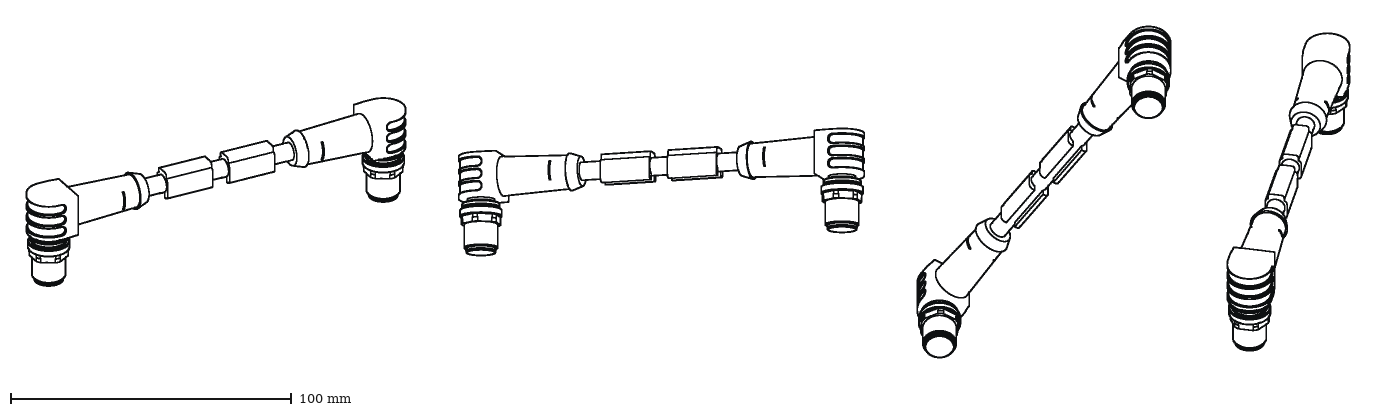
import cadquery as cq


overall_length = 150.94
overall_height = 35.3
half_length = overall_length / 2
overlap = 0.5

cable_diameter = 6.5

head_width = 15.97
head_height = 16.0
head_depth = 16.1
head_rear_width = 15.2
taper_start = 12.1
taper_end = 14.7
head_fillet = 0.5
head_radius = head_width / 2
plug_y = half_length - head_radius
head_rear_y = half_length - head_depth
head_bottom_z = -head_height / 2

groove_height = 3.6
groove_pitch = 4.45
groove_reach = 10.8
groove_depth = 0.5
groove_floor_bevel = 0.3
groove_count = 3

sleeve_root_diameter = 14.2
sleeve_neck_diameter = 12.1
collar_diameter = 13.5
sleeve_end_diameter = 10.65
collar_y = 33.9
sleeve_end_y = 29.8
slit_y = 40.1
slit_width = 0.4
slit_height = 6.8
slit_depth = 0.4

neck_diameter = 9.9
neck_flare_diameter = 10.9
neck_flare_top_z = -8.8
ring_diameter = 13.5
ring_top_z = -9.4
ring_bottom_z = -11.0
gap_diameter = 12.6
nut_collar_diameter = 15.0
nut_collar_top_z = -11.6
nut_collar_bottom_z = -14.3
ring_chamfer = 0.3
hex_across_flats = 13.0
hex_corner_diameter = 14.1
hex_lower_corner_diameter = 14.0
hex_turn = 30.0
hex_step_z = -15.6
hex_bottom_z = -17.1
barrel_diameter = 12.0
barrel_bottom_z = -25.8
barrel_chamfer = 0.4
tip_diameter = 10.65
tip_step_z = -26.6
tip_end_diameter = 10.45
tip_chamfer = 0.2
tip_bottom_z = head_height / 2 - overall_height

marker_length = 18.3
marker_center_y = 12.5
marker_half_width = 4.0
marker_bottom_z = -5.0
marker_corner_radius = 1.6
marker_shoulder_z = 3.2
rail_half_width = 2.9
rail_top_z = 5.3
rail_corner_radius = 1.0
clip_opening = 3.6


def head_outline(inset):
    """D-shaped plan outline of the head, reduced all round its sides and rounded end by inset."""
    rear_half_width = head_rear_width / 2 - inset
    radius = head_radius - inset
    return (
        cq.Workplane("XY", origin=(0, 0, head_bottom_z))
        .moveTo(-rear_half_width, head_rear_y)
        .lineTo(-rear_half_width, half_length - taper_end)
        .lineTo(-radius, half_length - taper_start)
        .lineTo(-radius, plug_y)
        .threePointArc((0, plug_y + radius), (radius, plug_y))
        .lineTo(radius, half_length - taper_start)
        .lineTo(rear_half_width, half_length - taper_end)
        .lineTo(rear_half_width, head_rear_y)
        .close()
    )


def make_head():
    head = head_outline(0).extrude(head_height)
    head = head.faces("<Y or >Z or <Z").edges().fillet(head_fillet)
    core = head_outline(groove_depth).extrude(head_height)
    floor_limit = head_radius - groove_depth / 2
    slot_length = 2 * groove_reach
    slot_y = half_length - groove_reach + slot_length / 2
    floor_box = cq.selectors.BoxSelector(
        (-floor_limit, 0, -head_height),
        (floor_limit, half_length - groove_depth / 2, head_height),
        boundingbox=True,
    )
    for index in range(groove_count):
        slot_z = (index - (groove_count - 1) / 2) * groove_pitch
        slot = (
            cq.Workplane("YZ")
            .center(slot_y, slot_z)
            .slot2D(slot_length, groove_height)
            .extrude(head_radius, both=True)
        )
        groove = slot.cut(core)
        floor_edges = groove.edges(floor_box)
        head = head.cut(floor_edges.chamfer(groove_floor_bevel))
    return head


def make_sleeve():
    profile = [
        (0, head_rear_y + overlap),
        (sleeve_root_diameter / 2, head_rear_y + overlap),
        (sleeve_neck_diameter / 2, collar_y),
        (collar_diameter / 2, collar_y),
        (sleeve_end_diameter / 2, sleeve_end_y),
        (0, sleeve_end_y),
    ]
    sleeve = cq.Workplane("XY").polyline(profile).close().revolve(360, (0, 0, 0), (0, 1, 0))
    slit_share = (slit_y - collar_y) / (head_rear_y - collar_y)
    diameter_at_slit = sleeve_neck_diameter + slit_share * (sleeve_root_diameter - sleeve_neck_diameter)
    slit_band = (
        cq.Workplane("XZ", origin=(0, slit_y + slit_width / 2, 0))
        .rect(sleeve_root_diameter, slit_height)
        .extrude(slit_width)
    )
    slit_core = (
        cq.Workplane("XZ", origin=(0, slit_y + slit_width / 2, 0))
        .circle(diameter_at_slit / 2 - slit_depth)
        .extrude(slit_width)
    )
    return sleeve.cut(slit_band.cut(slit_core))


def disc(diameter, top_z, bottom_z):
    """Cylinder on the plug axis between two heights."""
    return (
        cq.Workplane("XY", origin=(0, plug_y, bottom_z))
        .circle(diameter / 2)
        .extrude(top_z - bottom_z)
    )


def make_hex_nut():
    flats = (
        cq.Workplane("XY", origin=(0, plug_y, hex_bottom_z))
        .transformed(rotate=(0, 0, hex_turn))
        .polygon(6, hex_across_flats, circumscribed=True)
        .extrude(nut_collar_bottom_z - hex_bottom_z)
    )
    corners = disc(hex_corner_diameter, nut_collar_bottom_z, hex_step_z)
    lower_corners = disc(hex_lower_corner_diameter, hex_step_z, hex_bottom_z)
    return flats.intersect(corners.union(lower_corners))


def make_neck():
    profile = [
        (0, head_bottom_z + overlap),
        (neck_diameter / 2, head_bottom_z + overlap),
        (neck_diameter / 2, neck_flare_top_z),
        (neck_flare_diameter / 2, ring_top_z),
        (0, ring_top_z),
    ]
    neck = cq.Workplane("XZ").polyline(profile).close().revolve(360, (0, 0, 0), (0, 1, 0))
    return neck.translate((0, plug_y, 0))


def make_plug():
    ring = disc(ring_diameter, ring_top_z, ring_bottom_z).edges().chamfer(ring_chamfer)
    gap = disc(gap_diameter, ring_bottom_z, nut_collar_top_z)
    nut_collar = disc(nut_collar_diameter, nut_collar_top_z, nut_collar_bottom_z)
    nut_collar = nut_collar.edges().chamfer(ring_chamfer)
    barrel = disc(barrel_diameter, hex_bottom_z, barrel_bottom_z).edges("<Z").chamfer(barrel_chamfer)
    tip = disc(tip_diameter, barrel_bottom_z, tip_step_z)
    tip_end = disc(tip_end_diameter, tip_step_z, tip_bottom_z).edges("<Z").chamfer(tip_chamfer)
    plug = make_neck()
    for piece in (ring, gap, nut_collar, make_hex_nut(), barrel, tip, tip_end):
        plug = plug.union(piece)
    return plug


def make_marker(center_y):
    """Clip-on marker: rounded body with a raised rail on top and an opening along the bottom."""
    body_height = marker_shoulder_z - marker_bottom_z
    start_y = center_y + marker_length / 2
    body = (
        cq.Workplane("XZ", origin=(0, start_y, marker_bottom_z + body_height / 2))
        .rect(2 * marker_half_width, body_height)
        .extrude(marker_length)
        .edges("|Y")
        .fillet(marker_corner_radius)
    )
    rail = (
        cq.Workplane("XZ", origin=(0, start_y, rail_top_z / 2))
        .rect(2 * rail_half_width, rail_top_z)
        .extrude(marker_length)
        .edges("|Y and >Z")
        .fillet(rail_corner_radius)
    )
    opening = (
        cq.Workplane("XZ", origin=(0, start_y, marker_bottom_z / 2))
        .rect(clip_opening, -marker_bottom_z)
        .extrude(marker_length)
    )
    return body.union(rail).cut(opening)


connector = make_head().union(make_sleeve()).union(make_plug())
cable_half_length = sleeve_end_y + overlap
cable = (
    cq.Workplane("XZ")
    .circle(cable_diameter / 2)
    .extrude(cable_half_length, both=True)
)

result = cable.union(connector).union(connector.mirror("XZ"))
for side in (-1, 1):
    result = result.union(make_marker(side * marker_center_y))